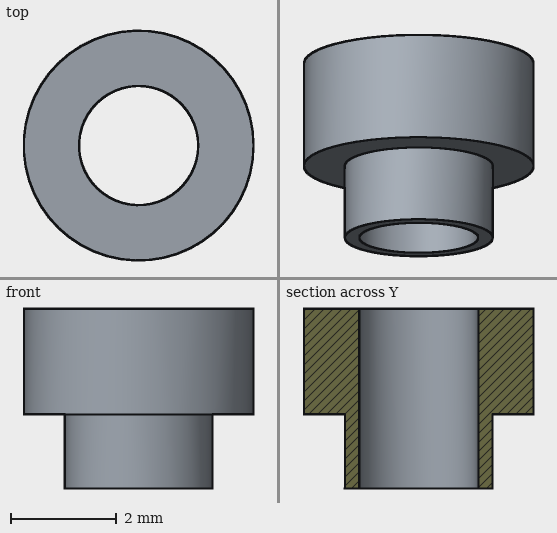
import cadquery as cq

head_diameter = 4.35
neck_diameter = 2.8
bore_diameter = 2.25
total_height = 3.4
head_height = 2.0
neck_height = total_height - head_height

neck = cq.Workplane("XY").circle(neck_diameter / 2).extrude(neck_height)
head = (
    cq.Workplane("XY")
    .workplane(offset=neck_height)
    .circle(head_diameter / 2)
    .extrude(head_height)
)

bore = cq.Workplane("XY").circle(bore_diameter / 2).extrude(total_height)

result = neck.union(head).cut(bore)